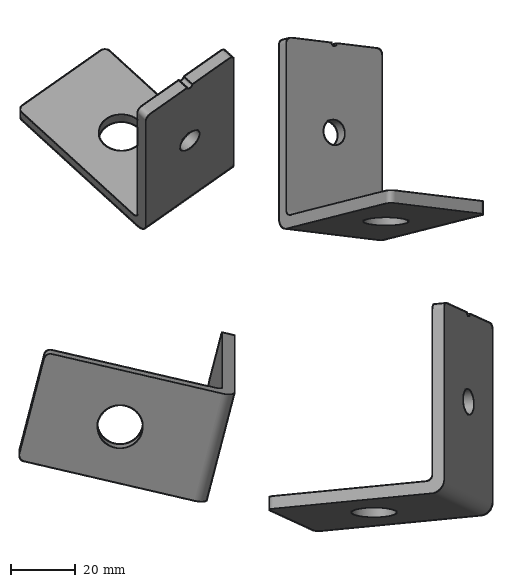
import cadquery as cq

leg_length = 60.0
width = 36.0
thickness = 4.0
inner_bend_radius = 2.0
outer_bend_radius = 4.0
corner_radius = 2.0
hole_from_free_end = 28.0
base_hole_diameter = 14.0
wall_hole_diameter = 8.0
notch_radius = 1.0

wall_inner_x = leg_length - thickness


def make_bent_plate():
    """L-shaped plate with a horizontal base and a wall at the +X end."""
    plate = (
        cq.Workplane("XZ")
        .polyline([
            (0, 0),
            (leg_length, 0),
            (leg_length, leg_length),
            (wall_inner_x, leg_length),
            (wall_inner_x, thickness),
            (0, thickness),
        ])
        .close()
        .extrude(width / 2, both=True)
    )
    inner_corner = cq.selectors.NearestToPointSelector((wall_inner_x, 0, thickness))
    plate = plate.edges(inner_corner).fillet(inner_bend_radius)
    outer_corner = cq.selectors.NearestToPointSelector((leg_length, 0, 0))
    return plate.edges(outer_corner).fillet(outer_bend_radius)


def round_free_corners(plate):
    plate = plate.faces("<X").edges("|Z").fillet(corner_radius)
    return plate.faces(">Z").edges("|X").fillet(corner_radius)


def make_base_hole():
    return (
        cq.Workplane("XY")
        .center(hole_from_free_end, 0)
        .circle(base_hole_diameter / 2)
        .extrude(thickness)
    )


def make_wall_cut(height, radius):
    """Cylinder along X through the wall, centred across its width."""
    return (
        cq.Workplane("YZ", origin=(wall_inner_x, 0, height))
        .circle(radius)
        .extrude(thickness)
    )


bracket = round_free_corners(make_bent_plate())
bracket = bracket.cut(make_base_hole())
bracket = bracket.cut(make_wall_cut(leg_length - hole_from_free_end, wall_hole_diameter / 2))

result = bracket.cut(make_wall_cut(leg_length, notch_radius))